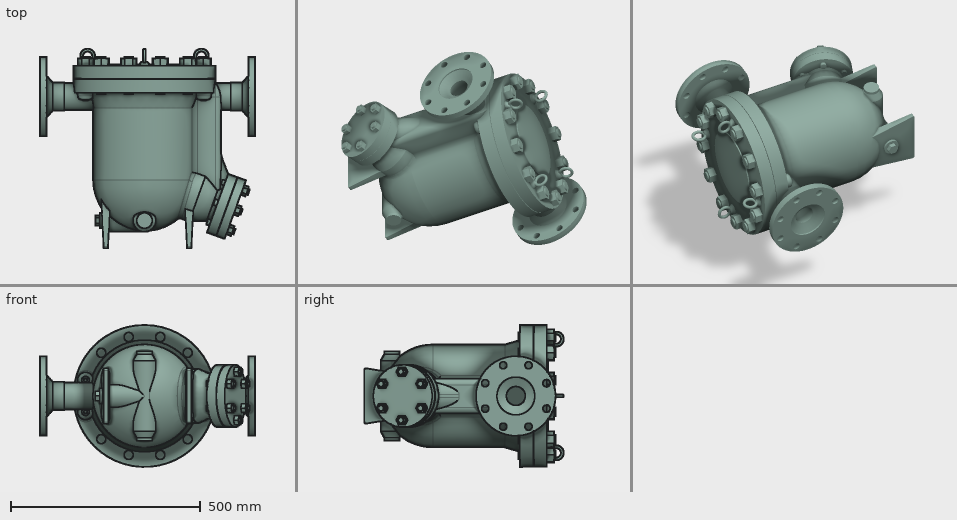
import cadquery as cq
import math

X_DIR = cq.Vector(1, 0, 0)
Y_DIR = cq.Vector(0, 1, 0)
Z_DIR = cq.Vector(0, 0, 1)

shell_radius = 136.0
dome_center_y = -219.0
flare_start_y = -29.0
flare_end_radius = 147.5

main_flange_diameter = 375.0
body_flange_y = 10.5
body_flange_top_y = 46.0
gasket_thickness = 1.5
gasket_radius = 145.0
cover_top_y = 82.0
cover_pad_diameter = 200.0
cover_pad_height = 3.5

stud_count = 12
stud_circle_radius = 161.0
stud_diameter = 24.0
stud_half_pitch = 180.0 / stud_count
stud_end_below_flange = 4.0
stud_end_above_nut = 4.0
nut_across_flats = 36.0
nut_height = 19.0

pipe_stud_boss_radius = 21.0
pipe_stud_boss_root = 5.0
pipe_stud_boss_round = 11.0
pipe_stud_boss_depth = 19.0
pipe_stud_tip_radius = 4.5
pipe_stud_tip_depth = 22.0

eye_count = 4
eye_circle_radius = 150.0
eye_ring_diameter = 40.0
eye_wire_diameter = 8.0
eye_center_height = 24.5
eye_base_diameter = 32.0
eye_shank_diameter = 16.0
eye_base_height = 10.0

face_to_face = 568.0
pipe_mid_x = 8.0
pipe_diameter = 72.0
pipe_flange_diameter = 210.0
pipe_flange_thickness = 18.0
hub_diameter = 110.0
neck_diameter = 75.0
hub_end = 34.0
neck_end = 64.0
mouth_diameter = 100.0
bore_diameter = 50.0
mouth_lip = 4.0
mouth_depth = 20.0
bore_depth = 120.0
flange_hole_count = 8
flange_hole_diameter = 19.0
flange_hole_circle_radius = 87.5

channel_half_width = 45.0
channel_face_x = 202.0
channel_corner_radius = 15.0
channel_root_radius = 17.0
channel_bottom_y = -250.0
channel_crown_start_y = -12.0
channel_crown_radius = 90.0

strainer_tilt = 20.0
strainer_axis_y = -211.0
strainer_radius = 71.5
strainer_root_radius = 12.0
strainer_taper_start = 151.0
strainer_taper_end = 194.0
strainer_neck_radius = 54.0
strainer_flange_start = 205.0
strainer_flange_thickness = 26.0
strainer_cover_thickness = 24.0
strainer_flange_diameter = 165.0
strainer_seam_width = 0.6
strainer_seam_depth = 1.0
strainer_bolt_count = 6
strainer_bolt_circle_radius = 64.0
strainer_bolt_diameter = 16.0
strainer_nut_across_flats = 24.0
strainer_nut_height = 13.0
strainer_bolt_end = 5.0
strainer_bolt_tail = 9.0
gusset_top_y = -150.0
gusset_half_width = 38.0
gusset_corner_radius = 34.0
gusset_hollow = 1.5

tilt = math.radians(strainer_tilt)
strainer_dir = cq.Vector(math.cos(tilt), -math.sin(tilt), 0)
strainer_up = cq.Vector(math.sin(tilt), math.cos(tilt), 0)
strainer_joint = strainer_flange_start + strainer_flange_thickness
strainer_end = strainer_joint + strainer_cover_thickness

drain_axis_y = -327.0
drain_radius = 30.0
drain_straight_length = 93.0
drain_taper_end = 110.0
drain_tip_radius = 20.5
drain_length = 118.0
plug_across_flats = 24.0
plug_height = 11.5

leg_spacing = 220.0
leg_bottom_y = -400.0
leg_top_y = -250.0
leg_top_half_width = 49.5
leg_bottom_half_width = 74.0
leg_top_thickness = 26.0
leg_bottom_thickness = 12.0
leg_corner_radius = 5.0


def cylinder(start, direction, radius, length):
    return cq.Workplane(obj=cq.Solid.makeCylinder(radius, length, start, direction))


def cone(start, direction, start_radius, end_radius, length):
    return cq.Workplane(obj=cq.Solid.makeCone(start_radius, end_radius, length, start, direction))


def hexagon(start, direction, vertex_direction, across_flats, height):
    """Hexagonal prism along direction, with one corner pointing along vertex_direction."""
    plane = cq.Plane(origin=start, xDir=vertex_direction, normal=direction)
    across_corners = across_flats / math.cos(math.pi / 6)
    return cq.Workplane(plane).polygon(6, across_corners).extrude(height)


def merge(parts):
    merged = parts[0]
    for part in parts[1:]:
        merged = merged.union(part)
    return merged


def around_vessel(radius, angle, y):
    """Point at a radius and angle (from +X toward +Z) about the vessel axis."""
    return cq.Vector(radius * math.cos(angle), y, radius * math.sin(angle))


def make_channel():
    """Slot-shaped duct with a round upper end about the pipe axis, its outer face curving in at the top."""
    duct = (
        cq.Workplane("YZ")
        .moveTo(channel_bottom_y, -channel_half_width)
        .lineTo(0, -channel_half_width)
        .threePointArc((channel_half_width, 0), (0, channel_half_width))
        .lineTo(channel_bottom_y, channel_half_width)
        .close()
        .extrude(channel_face_x)
    )
    duct = duct.faces(">X").edges("not(<Y)").fillet(channel_corner_radius)
    crown_center_x = channel_face_x - channel_crown_radius
    crown_turn = math.asin((channel_half_width - channel_crown_start_y) / channel_crown_radius)
    crown_points = [
        (
            crown_center_x + channel_crown_radius * math.cos(turn),
            channel_crown_start_y + channel_crown_radius * math.sin(turn),
        )
        for turn in (crown_turn / 2, crown_turn)
    ]
    crown = (
        cq.Workplane("XY")
        .moveTo(0, channel_bottom_y)
        .lineTo(channel_face_x, channel_bottom_y)
        .lineTo(channel_face_x, channel_crown_start_y)
        .threePointArc(*crown_points)
        .lineTo(0, channel_half_width)
        .close()
        .extrude(channel_half_width, both=True)
    )
    return duct.intersect(crown)


def make_channel_roots():
    """Concave rounds where the flat channel sides meet the shell, with the material behind them."""
    center_z = channel_half_width + channel_root_radius
    center_distance = shell_radius + channel_root_radius
    center_x = math.sqrt(center_distance**2 - center_z**2)
    toward_shell = math.atan2(center_z, center_x)
    tangent_x = shell_radius * math.cos(toward_shell)
    tangent_z = shell_radius * math.sin(toward_shell)
    middle = (math.pi + toward_shell + 1.5 * math.pi) / 2
    middle_x = center_x + channel_root_radius * math.cos(middle)
    middle_z = center_z + channel_root_radius * math.sin(middle)
    half = (
        cq.Workplane("XZ")
        .moveTo(0, 0)
        .lineTo(tangent_x, tangent_z)
        .threePointArc((middle_x, middle_z), (center_x, channel_half_width))
        .lineTo(center_x, 0)
        .close()
        .extrude(-dome_center_y)
    )
    return half.union(half.mirror("XY"))


def make_shell():
    dome_center = cq.Vector(0, dome_center_y, 0)
    barrel = cylinder(dome_center, Y_DIR, shell_radius, body_flange_y - dome_center_y)
    dome = cq.Workplane(obj=cq.Solid.makeSphere(shell_radius, dome_center, Y_DIR, -90, 90, 360))
    tube = cylinder(along_strainer(0), strainer_dir, strainer_radius, strainer_taper_start)
    shell = merge([barrel, dome, tube])
    shell = shell.edges("%BSPLINE").fillet(strainer_root_radius)
    flare = cone(
        cq.Vector(0, flare_start_y, 0), Y_DIR, shell_radius, flare_end_radius, body_flange_y - flare_start_y
    )
    return merge([shell, flare, make_channel(), make_channel_roots()])


def make_main_flanges():
    radius = main_flange_diameter / 2
    cover_bottom_y = body_flange_top_y + gasket_thickness
    body_flange = cylinder(cq.Vector(0, body_flange_y, 0), Y_DIR, radius, body_flange_top_y - body_flange_y)
    gasket = cylinder(cq.Vector(0, body_flange_top_y, 0), Y_DIR, gasket_radius, gasket_thickness)
    cover = cylinder(cq.Vector(0, cover_bottom_y, 0), Y_DIR, radius, cover_top_y - cover_bottom_y)
    pad = cylinder(cq.Vector(0, cover_top_y, 0), Y_DIR, cover_pad_diameter / 2, cover_pad_height)
    return merge([body_flange, gasket, cover, pad])


def make_studs():
    bottom_y = body_flange_y - stud_end_below_flange
    length = cover_top_y + nut_height + stud_end_above_nut - bottom_y
    parts = []
    for index in range(stud_count):
        turn = 2 * math.pi * index / stud_count
        angle = turn - math.radians(stud_half_pitch)
        stud_base = around_vessel(stud_circle_radius, angle, bottom_y)
        parts.append(cylinder(stud_base, Y_DIR, stud_diameter / 2, length))
        nut_base = around_vessel(stud_circle_radius, angle, cover_top_y)
        parts.append(hexagon(nut_base, Y_DIR, around_vessel(1, turn, 0), nut_across_flats, nut_height))
    return merge(parts)


def make_pipe_stud_boss(angle):
    """Domed boss with a hollow round at the flange and a small tapered tip."""
    root_edge = pipe_stud_boss_radius + pipe_stud_boss_root
    dome_edge = pipe_stud_boss_radius - pipe_stud_boss_round
    dome_start = pipe_stud_boss_depth - pipe_stud_boss_round
    quarter_turn = math.sqrt(0.5)
    profile = (
        cq.Workplane("XY")
        .lineTo(root_edge, 0)
        .threePointArc(
            (root_edge - pipe_stud_boss_root * quarter_turn, -pipe_stud_boss_root * (1 - quarter_turn)),
            (pipe_stud_boss_radius, -pipe_stud_boss_root),
        )
        .lineTo(pipe_stud_boss_radius, -dome_start)
        .threePointArc(
            (
                dome_edge + pipe_stud_boss_round * quarter_turn,
                -dome_start - pipe_stud_boss_round * quarter_turn,
            ),
            (dome_edge, -pipe_stud_boss_depth),
        )
        .lineTo(pipe_stud_tip_radius, -pipe_stud_tip_depth)
        .lineTo(0, -pipe_stud_tip_depth)
        .close()
    )
    boss = profile.revolve(360, (0, 0, 0), (0, 1, 0))
    return boss.translate(around_vessel(stud_circle_radius, angle, body_flange_y))


def make_pipe_stud_bosses():
    """Bosses under the body flange for the two studs on each side of each pipe."""
    parts = []
    for toward in (0, math.pi):
        for side in (-1, 1):
            parts.append(make_pipe_stud_boss(toward + side * math.radians(stud_half_pitch)))
    return merge(parts)


def make_lifting_eyes():
    wire_radius = eye_wire_diameter / 2
    ring_radius = eye_ring_diameter / 2 - wire_radius
    parts = []
    for index in range(eye_count):
        angle = 2 * math.pi * index / eye_count
        center = around_vessel(eye_circle_radius, angle, cover_top_y + eye_center_height)
        ring_axis = around_vessel(1, angle + math.pi / 2, 0)
        parts.append(cq.Workplane(obj=cq.Solid.makeTorus(ring_radius, wire_radius, center, ring_axis)))
        base = around_vessel(eye_circle_radius, angle, cover_top_y)
        parts.append(cone(base, Y_DIR, eye_base_diameter / 2, eye_shank_diameter / 2, eye_base_height))
    return merge(parts)


def make_pipe(outward):
    """Pipe with a reducing flange; outward is -1 for the inlet and +1 for the outlet."""
    face_x = pipe_mid_x + outward * face_to_face / 2
    face = cq.Vector(face_x, 0, 0)
    inward = X_DIR * -outward
    flange = cylinder(face, inward, pipe_flange_diameter / 2, pipe_flange_thickness)
    hub = cone(
        face + inward * pipe_flange_thickness,
        inward,
        hub_diameter / 2,
        neck_diameter / 2,
        hub_end - pipe_flange_thickness,
    )
    neck = cylinder(face + inward * hub_end, inward, neck_diameter / 2, neck_end - hub_end)
    pipe = cylinder(face + inward * neck_end, inward, pipe_diameter / 2, abs(face_x) - neck_end)
    return merge([flange, hub, neck, pipe])


def make_pipe_openings(outward):
    face = cq.Vector(pipe_mid_x + outward * face_to_face / 2, 0, 0)
    inward = X_DIR * -outward
    lip = cylinder(face, inward, mouth_diameter / 2, mouth_lip)
    mouth = cone(
        face + inward * mouth_lip, inward, mouth_diameter / 2, bore_diameter / 2, mouth_depth - mouth_lip
    )
    openings = [lip, mouth, cylinder(face, inward, bore_diameter / 2, bore_depth)]
    for index in range(flange_hole_count):
        angle = 2 * math.pi * (index + 0.5) / flange_hole_count
        offset = cq.Vector(0, math.cos(angle), math.sin(angle)) * flange_hole_circle_radius
        openings.append(cylinder(face + offset, inward, flange_hole_diameter / 2, pipe_flange_thickness))
    return merge(openings)


def along_strainer(distance):
    return cq.Vector(0, strainer_axis_y, 0) + strainer_dir * distance


def make_strainer_branch():
    tube = cylinder(along_strainer(0), strainer_dir, strainer_radius, strainer_taper_start)
    taper = cone(
        along_strainer(strainer_taper_start),
        strainer_dir,
        strainer_radius,
        strainer_neck_radius,
        strainer_taper_end - strainer_taper_start,
    )
    neck = cylinder(
        along_strainer(strainer_taper_end),
        strainer_dir,
        strainer_neck_radius,
        strainer_flange_start - strainer_taper_end,
    )
    flange_radius = strainer_flange_diameter / 2
    flanges = cylinder(
        along_strainer(strainer_flange_start),
        strainer_dir,
        flange_radius,
        strainer_end - strainer_flange_start,
    )
    seam_start = along_strainer(strainer_joint)
    seam = cylinder(seam_start, strainer_dir, flange_radius, strainer_seam_width)
    seam_core = cylinder(seam_start, strainer_dir, flange_radius - strainer_seam_depth, strainer_seam_width)
    return merge([tube, taper, neck, flanges.cut(seam.cut(seam_core))])


def make_strainer_bolts():
    tail = strainer_flange_start - strainer_bolt_tail
    length = strainer_end + strainer_nut_height + strainer_bolt_end - tail
    parts = []
    for index in range(strainer_bolt_count):
        angle = 2 * math.pi * (index + 0.5) / strainer_bolt_count
        offset = strainer_up * math.cos(angle) + Z_DIR * math.sin(angle)
        offset = offset * strainer_bolt_circle_radius
        bolt_base = along_strainer(tail) + offset
        parts.append(cylinder(bolt_base, strainer_dir, strainer_bolt_diameter / 2, length))
        nut_base = along_strainer(strainer_end) + offset
        parts.append(
            hexagon(nut_base, strainer_dir, strainer_up, strainer_nut_across_flats, strainer_nut_height)
        )
    return merge(parts)


def make_gusset():
    """Web that leans out from the channel face to the rim of the strainer flange."""
    flange_center = along_strainer(strainer_flange_start)
    rim = flange_center + strainer_up * (strainer_flange_diameter / 2)
    back_x = channel_face_x - 2 * gusset_corner_radius
    middle = ((channel_face_x + rim.x) / 2 - gusset_hollow, (gusset_top_y + rim.y) / 2)
    web = (
        cq.Workplane("XY")
        .moveTo(back_x, gusset_top_y)
        .lineTo(channel_face_x, gusset_top_y)
        .threePointArc(middle, (rim.x, rim.y))
        .lineTo(flange_center.x, flange_center.y)
        .lineTo(back_x, flange_center.y)
        .close()
        .extrude(gusset_half_width, both=True)
    )
    outer = cq.selectors.NearestToPointSelector((middle[0], middle[1], 0))
    return web.faces(outer).edges("not(|Z)").fillet(gusset_corner_radius)


def make_drain_boss(direction):
    start = cq.Vector(0, drain_axis_y, 0)
    straight = cylinder(start, direction, drain_radius, drain_straight_length)
    taper = cone(
        start + direction * drain_straight_length,
        direction,
        drain_radius,
        drain_tip_radius,
        drain_taper_end - drain_straight_length,
    )
    tip = cylinder(
        start + direction * drain_taper_end, direction, drain_tip_radius, drain_length - drain_taper_end
    )
    return merge([straight, taper, tip])


def make_drains():
    bosses = [make_drain_boss(direction) for direction in (-X_DIR, Z_DIR, -Z_DIR)]
    plug_base = cq.Vector(-drain_length, drain_axis_y, 0)
    plug = hexagon(plug_base, -X_DIR, Y_DIR, plug_across_flats, plug_height)
    return merge(bosses + [plug])


def make_leg(center_x):
    """Plate that widens in Z and thins in X toward its foot."""

    def outline(plane, top_half, bottom_half):
        return plane.polyline(
            [
                (-bottom_half, leg_bottom_y),
                (bottom_half, leg_bottom_y),
                (top_half, leg_top_y),
                (-top_half, leg_top_y),
            ]
        ).close()

    side_plane = cq.Workplane(cq.Plane(origin=(center_x, 0, 0), xDir=(0, 0, 1), normal=(-1, 0, 0)))
    plate = outline(side_plane, leg_top_half_width, leg_bottom_half_width)
    plate = plate.extrude(leg_top_thickness / 2, both=True)
    plate = plate.faces("<Y").edges("|X").fillet(leg_corner_radius)
    taper_plane = cq.Workplane("XY", origin=(center_x, 0, 0))
    taper = outline(taper_plane, leg_top_thickness / 2, leg_bottom_thickness / 2)
    taper = taper.extrude(leg_bottom_half_width, both=True)
    return plate.intersect(taper)


result = merge(
    [
        make_shell(),
        make_main_flanges(),
        make_pipe(-1),
        make_pipe(1),
        make_strainer_branch(),
        make_gusset(),
        make_strainer_bolts(),
        make_drains(),
        make_leg(pipe_mid_x - leg_spacing / 2),
        make_leg(pipe_mid_x + leg_spacing / 2),
        make_pipe_stud_bosses(),
        make_studs(),
        make_lifting_eyes(),
    ]
)
for outward in (-1, 1):
    result = result.cut(make_pipe_openings(outward))